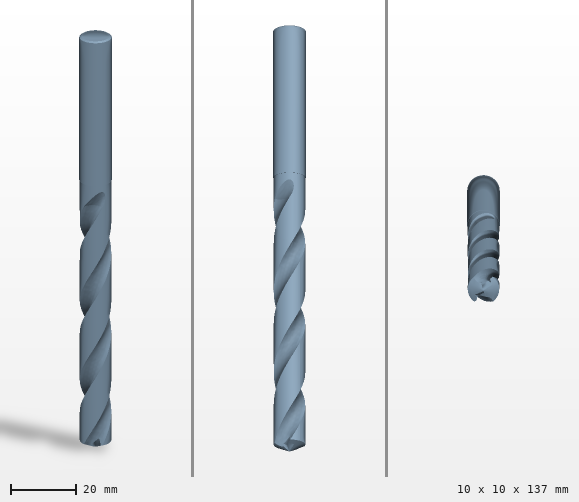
import cadquery as cq
import math

total_length = 137.0
shank_length = 48.0
tip_body_top = 67.5
helix_top = 81.5
flute_top = 87.0

shank_diameter = 10.0
cutting_diameter = 9.7
point_angle = 130.0
helix_angle = 30.0
chamfer_width = 0.6
chamfer_height = 0.4

flute_count = 2
flute_radius = 3.35
core_radius = 2.3
flute_start_angle = -90.0
overrun = 1.0
runout_angle = 41.0

gash_inner_height = 1.95
gash_peak_x = 2.05
gash_peak_height = 3.9
gash_outer_x = 2.9
gash_outer_height = 2.2
gash_rake_angle = 24.0
half_web = 0.1

shank_radius = shank_diameter / 2
cutting_radius = cutting_diameter / 2
point_height = cutting_radius / math.tan(math.radians(point_angle / 2))
neck_top = total_length - shank_length
helix_pitch = math.pi * cutting_diameter / math.tan(math.radians(helix_angle))
flute_offset = core_radius + flute_radius
flute_step = 360.0 / flute_count


def around_axis(shape, angle):
    return shape.rotate((0, 0, 0), (0, 0, 1), angle)


def flute_angle(height):
    """Direction of the first flute from the drill axis at a given height."""
    return flute_start_angle + 360.0 * height / helix_pitch


def helical_flute(bottom, top, turn):
    """Circle twisted up the drill axis between two heights."""
    groove = (
        cq.Workplane("XY")
        .moveTo(flute_offset, 0)
        .circle(flute_radius)
        .twistExtrude(top - bottom, flute_angle(top) - flute_angle(bottom))
        .translate((0, 0, bottom))
    )
    return around_axis(groove, flute_angle(bottom) + turn)


def flute_runout(turn):
    """The same circle carried straight on, up and sideways, to where it nearly leaves the drill."""
    rise = flute_top - helix_top
    drift = rise * math.tan(math.radians(runout_angle))
    end_angle = math.radians(flute_angle(helix_top))
    center = cq.Vector(
        flute_offset * math.cos(end_angle),
        flute_offset * math.sin(end_angle),
        helix_top,
    )
    circle = cq.Wire.makeCircle(flute_radius, center, cq.Vector(0, 0, 1))
    runout = cq.Workplane(cq.Solid.extrudeLinear(circle, [], cq.Vector(-drift, 0, rise)))
    return around_axis(runout, turn)


def point_gash(turn):
    """Pocket that thins the web beside the tip, backed by a tilted rake face."""
    outline = (
        cq.Workplane("XZ")
        .moveTo(0, 0)
        .lineTo(0, gash_inner_height)
        .lineTo(gash_peak_x, gash_peak_height)
        .lineTo(gash_outer_x, gash_outer_height)
        .lineTo(gash_outer_x, 0)
        .close()
        .extrude(cutting_radius)
    )
    rake_shift = gash_peak_height * math.tan(math.radians(gash_rake_angle))
    in_front_of_rake = (
        cq.Workplane("YZ")
        .moveTo(-half_web, 0)
        .lineTo(-half_web - rake_shift, gash_peak_height)
        .lineTo(-cutting_radius, gash_peak_height)
        .lineTo(-cutting_radius, 0)
        .close()
        .extrude(gash_outer_x)
    )
    return around_axis(outline.intersect(in_front_of_rake), turn)


def make_cutting_body():
    """Fluted lower body with a conical point."""
    body = (
        cq.Workplane("XZ")
        .moveTo(0, 0)
        .lineTo(cutting_radius, point_height)
        .lineTo(cutting_radius, tip_body_top)
        .lineTo(0, tip_body_top)
        .close()
        .revolve(360, (0, 0, 0), (0, 1, 0))
    )
    body = around_axis(body, 180)
    for index in range(flute_count):
        body = body.cut(helical_flute(-overrun, tip_body_top + overrun, index * flute_step))
    for index in range(flute_count):
        body = body.cut(point_gash(index * flute_step))
    return body


def make_shank_body():
    """Plain shank with a fluted neck that carries on from the cutting body."""
    body = (
        cq.Workplane("XZ")
        .moveTo(0, tip_body_top)
        .lineTo(cutting_radius, tip_body_top)
        .lineTo(cutting_radius, neck_top)
        .lineTo(shank_radius, neck_top)
        .lineTo(shank_radius, total_length - chamfer_height)
        .lineTo(shank_radius - chamfer_width, total_length)
        .lineTo(0, total_length)
        .close()
        .revolve(360, (0, 0, 0), (0, 1, 0))
    )
    body = around_axis(body, -90)
    for index in range(flute_count):
        turn = index * flute_step
        body = body.cut(helical_flute(tip_body_top - overrun, helix_top, turn))
        body = body.cut(flute_runout(turn))
    return body


cutting_body = make_cutting_body()
shank_body = make_shank_body()

result = cq.Compound.makeCompound([cutting_body.val(), shank_body.val()])